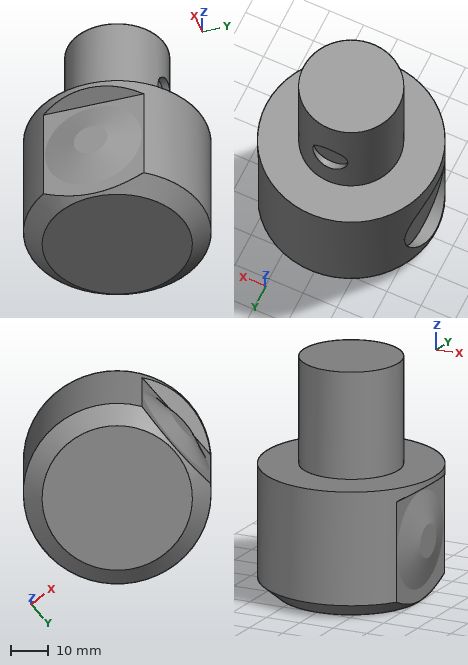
import cadquery as cq
import math

collar_diameter = 50.0
collar_height = 36.0
bevel_width = 5.0
bevel_angle = 40.0
bevel_height = bevel_width * math.tan(math.radians(bevel_angle))

shank_diameter = 28.0
shank_length = 30.0

spot_diameter = 10.3
spot_depth = 2.0
spot_z = 49.0

cross_axis_z = 17.6
pocket_diameter = 25.0
pocket_depth = 3.7

flat_x = 20.7
lip_root_z = 32.2
lip_edge_z = 34.5

boss_base_diameter = 27.0
boss_tip_diameter = 9.4
boss_height = 2.4

collar_radius = collar_diameter / 2
shank_radius = shank_diameter / 2


def make_body():
    """Bevelled collar with the shank on top, revolved about Z."""
    total_height = collar_height + shank_length
    return (
        cq.Workplane("XZ")
        .moveTo(0, 0)
        .lineTo(collar_radius - bevel_width, 0)
        .lineTo(collar_radius, bevel_height)
        .lineTo(collar_radius, collar_height)
        .lineTo(shank_radius, collar_height)
        .lineTo(shank_radius, total_height)
        .lineTo(0, total_height)
        .close()
        .revolve(360, (0, 0, 0), (0, 1, 0))
    )


def make_flat_cutter():
    """Material outside the flat; its top face slopes up to the rim of the lip."""
    return (
        cq.Workplane("XZ")
        .moveTo(flat_x, 0)
        .lineTo(collar_radius, 0)
        .lineTo(collar_radius, lip_edge_z)
        .lineTo(flat_x, lip_root_z)
        .close()
        .extrude(collar_radius, both=True)
    )


def make_boss():
    """Cone frustum on the flat, revolved about an axis parallel to X."""
    base_radius = boss_base_diameter / 2
    tip_x = flat_x + boss_height
    overlap = 1.0
    return (
        cq.Workplane("XY")
        .moveTo(flat_x - overlap, 0)
        .lineTo(tip_x, 0)
        .lineTo(tip_x, boss_tip_diameter / 2)
        .lineTo(flat_x, base_radius)
        .lineTo(flat_x - overlap, base_radius)
        .close()
        .revolve(360, (0, 0, 0), (1, 0, 0))
        .translate((0, 0, cross_axis_z))
    )


def make_pocket_cutter():
    """Cylinder along X that sinks the pocket into the -X side."""
    return (
        cq.Workplane("YZ", origin=(-collar_radius, 0, cross_axis_z))
        .circle(pocket_diameter / 2)
        .extrude(pocket_depth)
    )


def make_spot_cutter():
    """Cylinder along Y that sinks the spot hole into the shank."""
    return (
        cq.Workplane("XZ", origin=(0, shank_radius, spot_z))
        .circle(spot_diameter / 2)
        .extrude(spot_depth)
    )


result = (
    make_body()
    .cut(make_flat_cutter())
    .union(make_boss())
    .cut(make_pocket_cutter())
    .cut(make_spot_cutter())
)